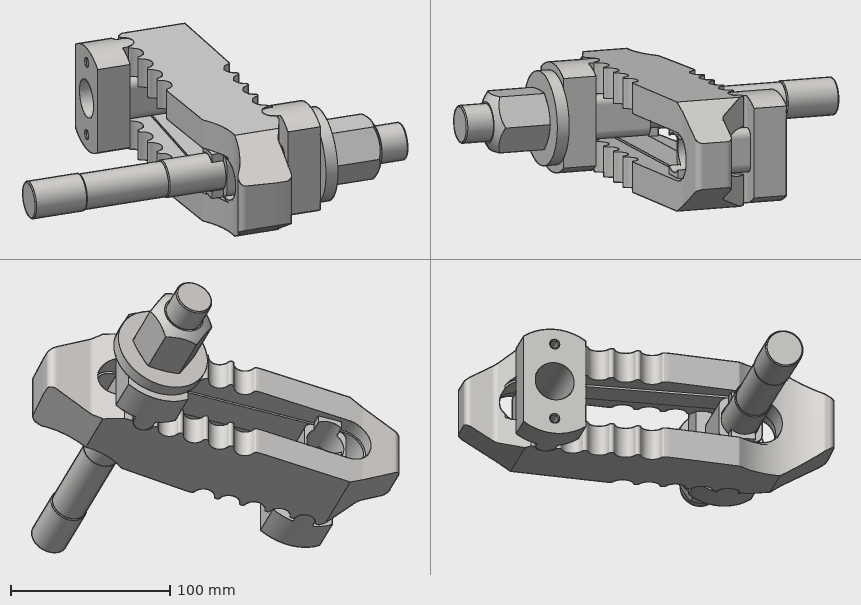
import cadquery as cq
import math


clamp_width = 70.0
end_width = 29.5
left_end = -175.8
right_end = 60.2
left_taper_start = -141.2
right_taper_start = 25.5
crest = 25.5
left_corner_radius = 4.0
toe_top_radius = 5.0
toe_bottom_radius = 3.5

heel_top = 19.5
heel_bottom = -4.5
heel_top_end = -150.0
heel_bottom_end = -156.2
top_slope_end = -78.2
first_tooth = -138.2

toe_top = 17.5
toe_top_start = 32.2
toe_slope_start = 13.0
toe_bottom = -17.2
toe_bottom_end = 59.0
toe_face_bottom = 6.2

arch_radius = 45.0
arch_center_x = 26.5
arch_peak = -9.0
arch_start_x = -2.8
bottom_slope_start = -49.8
end_bend_radius = 5.0
arch_bend_radius = 3.2
arch_tip_radius = 2.5

notch_count = 5
notch_pitch = 17.0
notch_radius = 7.0
notch_offset = 0.8
tooth_tip_radius = 1.8

slot_width = 28.2
wide_slot_width = 31.0
slot_left_end = -154.2
slot_right_end = 27.0
ledge_height = 10.0

upper_seat_x = 0.0
lower_seat_x = -128.5
seat_face = 28.8
seat_height = 21.8
seat_diameter = clamp_width
seat_flats = 40.0
nose_radius = 6.5
nose_root_radius = 1.0
tenon_size = 28.0
tenon_corner_radius = 5.5
hook_width = 15.5
hook_span = 30.5
hook_length = 7.8
bore_diameter = 25.0
screw_hole_offset = 25.0
screw_hole_diameter = 5.0
screw_hole_chamfer = 0.8
screw_hole_depth = 12.5
drill_point_angle = 118.0

washer_diameter = 60.0
washer_thickness = 8.0
nut_flats = 36.0
nut_height = 36.0
nut_crown_radius = 32.0
nut_crown_flat = 26.0
nut_base_diameter = 34.2
nut_chamfer = 1.2
stud_top = 112.5
stud_bottom = -137.5
thread_diameter = 24.0
shank_diameter = 22.8
shank_top = -48.0
shank_bottom = -102.5
stud_end_chamfer = 0.8

washer_bottom = seat_face + seat_height
nut_bottom = washer_bottom + washer_thickness
notch_center = crest + notch_offset
notch_floor = notch_center - notch_radius


def arch_height(x):
    """Height of the arch under the right end at a given X."""
    return arch_peak - arch_radius + math.sqrt(arch_radius**2 - (x - arch_center_x) ** 2)


def rod(diameter, bottom, top):
    """Cylinder around the stud axis between two heights."""
    return cq.Workplane("XZ", origin=(0, top, 0)).circle(diameter / 2).extrude(top - bottom)


def at_points(points, reach=0.12):
    """Selector for the edges along Z that pass through the given XY points."""
    half = clamp_width
    boxes = [
        cq.selectors.BoxSelector((x - reach, y - reach, -half), (x + reach, y + reach, half))
        for x, y in points
    ]
    selector = boxes[0]
    for box in boxes[1:]:
        selector = selector + box
    return selector


def clamp_profile():
    """Side profile of the clamp before the teeth are cut."""
    arch_center_y = arch_peak - arch_radius
    arch_end_x = arch_center_x + math.sqrt(arch_radius**2 - (toe_bottom - arch_center_y) ** 2)
    profile = (
        cq.Workplane("XY", origin=(0, 0, -clamp_width / 2))
        .moveTo(left_end, heel_bottom)
        .lineTo(left_end, heel_top)
        .lineTo(heel_top_end, heel_top)
        .lineTo(top_slope_end, crest)
        .lineTo(toe_slope_start, crest)
        .lineTo(toe_top_start, toe_top)
        .lineTo(right_end, toe_top)
        .lineTo(right_end, toe_face_bottom)
        .lineTo(toe_bottom_end, toe_bottom)
        .lineTo(arch_end_x, toe_bottom)
        .threePointArc((arch_center_x, arch_peak), (arch_start_x, arch_height(arch_start_x)))
        .lineTo(bottom_slope_start, -crest)
        .lineTo(first_tooth, -crest)
        .lineTo(heel_bottom_end, heel_bottom)
        .close()
        .extrude(clamp_width)
    )
    left_corners = [(left_end, heel_bottom), (left_end, heel_top)]
    bends = [(heel_bottom_end, heel_bottom), (toe_top_start, toe_top)]
    arch_start = [(arch_start_x, arch_height(arch_start_x))]
    profile = profile.edges(at_points(left_corners)).fillet(left_corner_radius)
    profile = profile.edges(at_points([(right_end, toe_top)])).fillet(toe_top_radius)
    profile = profile.edges(at_points([(toe_bottom_end, toe_bottom)])).fillet(toe_bottom_radius)
    profile = profile.edges(at_points(bends)).fillet(end_bend_radius)
    profile = profile.edges(at_points([(arch_end_x, toe_bottom)])).fillet(arch_tip_radius)
    return profile.edges(at_points(arch_start)).fillet(arch_bend_radius)


def slot(width, bottom, top):
    """Round-ended slot; every width shares the same end centres."""
    end_allowance = width - slot_width
    length = slot_right_end - slot_left_end + end_allowance
    middle = (slot_left_end + slot_right_end) / 2
    return cq.Workplane("XZ", origin=(middle, top, 0)).slot2D(length, width).extrude(top - bottom)


def make_clamp():
    body = clamp_profile()

    taper = [
        (left_end, end_width / 2),
        (left_taper_start, clamp_width / 2),
        (right_taper_start, clamp_width / 2),
        (right_end, end_width / 2),
        (right_end, -end_width / 2),
        (right_taper_start, -clamp_width / 2),
        (left_taper_start, -clamp_width / 2),
        (left_end, -end_width / 2),
    ]
    body = body.intersect(cq.Workplane("XZ").polyline(taper).close().extrude(crest, both=True))

    upper = [(upper_seat_x - i * notch_pitch, notch_center) for i in range(notch_count)]
    lower = [(lower_seat_x + i * notch_pitch, -notch_center) for i in range(notch_count)]
    notches = (
        cq.Workplane("XY", origin=(0, 0, -clamp_width / 2))
        .pushPoints(upper + lower)
        .circle(notch_radius)
        .extrude(clamp_width)
    )
    body = body.cut(notches)
    half_opening = math.sqrt(notch_radius**2 - notch_offset**2)
    tips = [
        (x + side * half_opening, math.copysign(crest, y))
        for x, y in upper + lower
        for side in (-1, 1)
    ]
    body = body.edges(at_points(tips)).fillet(tooth_tip_radius)

    body = body.cut(slot(slot_width, -crest, crest))
    body = body.cut(slot(wide_slot_width, ledge_height, crest))
    return body.cut(slot(wide_slot_width, -crest, -ledge_height))


def make_seat():
    """Seat under the clamp, with its bore on the Y axis and its tenon pointing up."""
    outer_face = -seat_face - seat_height
    block = (
        cq.Workplane("XY")
        .box(seat_flats, seat_height, seat_diameter)
        .translate((0, outer_face + seat_height / 2, 0))
    )

    nose_center = -notch_floor - nose_radius
    nose = (
        cq.Workplane("XY", origin=(0, 0, -seat_diameter / 2))
        .moveTo(-nose_radius, -seat_face)
        .lineTo(-nose_radius, nose_center)
        .threePointArc((0, -notch_floor), (nose_radius, nose_center))
        .lineTo(nose_radius, -seat_face)
        .close()
        .extrude(seat_diameter)
    )
    nose_roots = [(-nose_radius, -seat_face), (nose_radius, -seat_face)]
    seat = block.union(nose).edges(at_points(nose_roots)).fillet(nose_root_radius)
    seat = seat.intersect(rod(seat_diameter, outer_face, -notch_floor))

    tenon = (
        cq.Workplane("XZ", origin=(0, ledge_height, 0))
        .rect(tenon_size, tenon_size)
        .extrude(ledge_height + seat_face)
        .edges("|Y")
        .fillet(tenon_corner_radius)
    )
    hooks = (
        cq.Workplane("XZ", origin=(0, ledge_height + hook_length, 0))
        .rect(hook_width, hook_span)
        .extrude(hook_length)
    )
    seat = seat.union(tenon).union(hooks)
    seat = seat.cut(rod(bore_diameter, outer_face, ledge_height + hook_length))

    hole_radius = screw_hole_diameter / 2
    point_depth = hole_radius / math.tan(math.radians(drill_point_angle / 2))
    drill = (
        cq.Workplane("XY")
        .polyline([
            (0, 0),
            (hole_radius + screw_hole_chamfer, 0),
            (hole_radius, screw_hole_chamfer),
            (hole_radius, screw_hole_depth),
            (0, screw_hole_depth + point_depth),
        ])
        .close()
        .revolve(360, (0, 0), (0, 1))
    )
    for side in (-1, 1):
        seat = seat.cut(drill.translate((0, outer_face, side * screw_hole_offset)))
    return seat


def make_washer():
    washer = rod(washer_diameter, washer_bottom, nut_bottom)
    return washer.cut(rod(bore_diameter, washer_bottom, nut_bottom))


def make_nut():
    across_corners = nut_flats / math.cos(math.radians(30))
    nut_top = nut_bottom + nut_height
    hexagon = (
        cq.Workplane("XZ", origin=(0, nut_top, 0))
        .polygon(6, across_corners)
        .extrude(nut_height)
    )

    corner = across_corners / 2
    flat = nut_crown_flat / 2
    crown_center = nut_top - math.sqrt(nut_crown_radius**2 - flat**2)
    crown_middle = (flat + corner) / 2

    def crown_height(radius):
        return crown_center + math.sqrt(nut_crown_radius**2 - radius**2)

    envelope = (
        cq.Workplane("XY")
        .moveTo(0, nut_bottom)
        .lineTo(nut_base_diameter / 2, nut_bottom)
        .lineTo(corner, nut_bottom + nut_chamfer)
        .lineTo(corner, crown_height(corner))
        .threePointArc((crown_middle, crown_height(crown_middle)), (flat, nut_top))
        .lineTo(0, nut_top)
        .close()
        .revolve(360, (0, 0), (0, 1))
    )
    return hexagon.intersect(envelope).cut(rod(thread_diameter, nut_bottom, nut_top))


def make_stud():
    upper = rod(thread_diameter, shank_top, stud_top).faces("<Y or >Y").chamfer(stud_end_chamfer)
    lower = rod(thread_diameter, stud_bottom, shank_bottom).faces("<Y or >Y").chamfer(stud_end_chamfer)
    return upper.union(rod(shank_diameter, shank_bottom, shank_top)).union(lower)


clamp = make_clamp()
stud = make_stud()
nut = make_nut()
washer = make_washer()

seats = [
    make_seat().rotate((0, 0, 0), (0, 0, 1), turn).translate((x, 0, 0)).val()
    for x, turn in ((lower_seat_x, 0), (upper_seat_x, 180))
]

result = cq.Compound.makeCompound([clamp.val(), stud.val(), nut.val(), washer.val(), *seats])